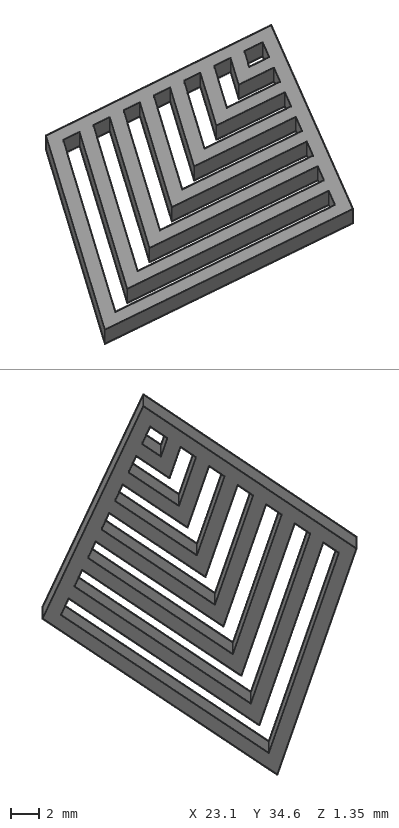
import cadquery as cq

length = 34.62
width = 23.1
thickness = 1.35
left_reach = 10.97
right_reach = width - left_reach
side_corner_drop = 16.5

bar_width = 1.1
kite_count = 7
length_step = 4.65


def solid_kite(kite_length, inset=0.0):
    """Kite hung from the top tip, optionally with every edge moved inward."""
    ratio = kite_length / length
    side_y = -side_corner_drop * ratio
    outline = cq.Workplane("XY").polyline([
        (0, 0),
        (right_reach * ratio, side_y),
        (0, -kite_length),
        (-left_reach * ratio, side_y),
    ]).close()
    if inset > 0:
        outline = outline.offset2D(-inset)
    return outline.extrude(thickness)


def window(index):
    """Opening inside one kite, leaving the next smaller kite untouched."""
    kite_length = length - index * length_step
    opening = solid_kite(kite_length, bar_width)
    is_smallest = index == kite_count - 1
    if is_smallest:
        return opening
    return opening.cut(solid_kite(kite_length - length_step))


result = solid_kite(length)
for kite_index in range(kite_count):
    result = result.cut(window(kite_index))